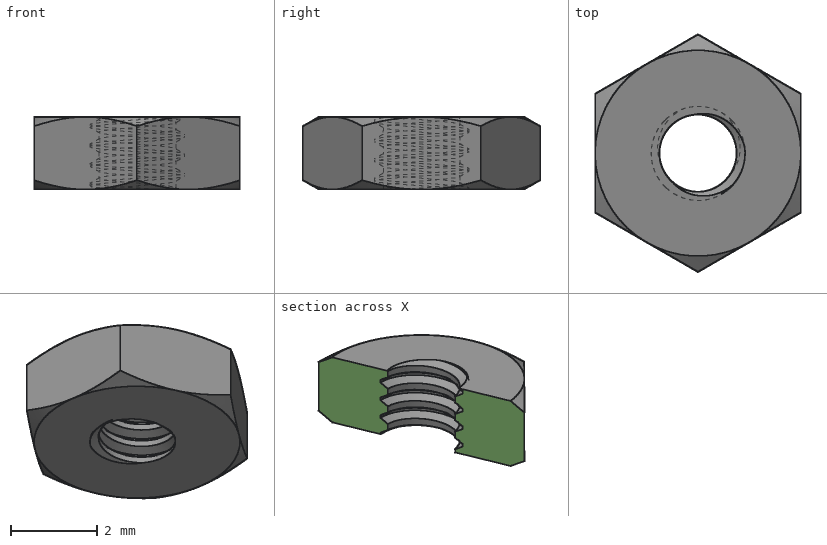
import cadquery as cq
import math

corner_diameter = 5.51
across_flats = corner_diameter * math.cos(math.radians(30))
height = 1.68
face_diameter = across_flats
chamfer_angle = 30.0
corner_clearance = 0.055

minor_diameter = 1.785
major_diameter = 2.18
pitch = 0.45
root_width = 0.06
flank_angle = 30.0
top_groove_angle = -17.0
bore_overlap = 0.02


def hexagonal_blank():
    """Hexagonal prism with corners along Y, turned to a conical chamfer on both ends."""
    hexagon = (
        cq.Workplane("XY")
        .polygon(6, corner_diameter)
        .extrude(height)
        .rotate((0, 0, 0), (0, 0, 1), 30)
    )
    envelope_radius = corner_diameter / 2 + corner_clearance
    face_radius = face_diameter / 2
    chamfer_drop = (envelope_radius - face_radius) * math.tan(math.radians(chamfer_angle))
    turned_envelope = (
        cq.Workplane("XZ")
        .moveTo(0, 0)
        .lineTo(face_radius, 0)
        .lineTo(envelope_radius, chamfer_drop)
        .lineTo(envelope_radius, height - chamfer_drop)
        .lineTo(face_radius, height)
        .lineTo(0, height)
        .close()
        .revolve(360, (0, 0, 0), (0, 1, 0))
    )
    return hexagon.intersect(turned_envelope)


def thread_groove():
    """Helical trapezoidal groove that runs out past both faces of the nut."""
    root_radius = major_diameter / 2
    mouth_radius = minor_diameter / 2 - bore_overlap
    root_half = root_width / 2
    mouth_half = root_half + (root_radius - mouth_radius) * math.tan(math.radians(flank_angle))
    turns = math.ceil(height / pitch) + 2
    helix_length = turns * pitch
    start_height = height + pitch - helix_length
    helix = cq.Workplane(cq.Wire.makeHelix(pitch, helix_length, minor_diameter / 2))
    groove = (
        cq.Workplane("XZ")
        .moveTo(mouth_radius, -mouth_half)
        .lineTo(root_radius, -root_half)
        .lineTo(root_radius, root_half)
        .lineTo(mouth_radius, mouth_half)
        .close()
        .sweep(helix, isFrenet=True)
    )
    return groove.rotate((0, 0, 0), (0, 0, 1), top_groove_angle).translate((0, 0, start_height))


def bore_cutter():
    """Round bore as long as the groove cutter needs to merge cleanly beyond both faces."""
    overrun = 4 * pitch
    return (
        cq.Workplane("XY")
        .workplane(offset=-overrun)
        .circle(minor_diameter / 2)
        .extrude(height + 2 * overrun)
    )


threaded_hole = bore_cutter().union(thread_groove())
result = hexagonal_blank().cut(threaded_hole)